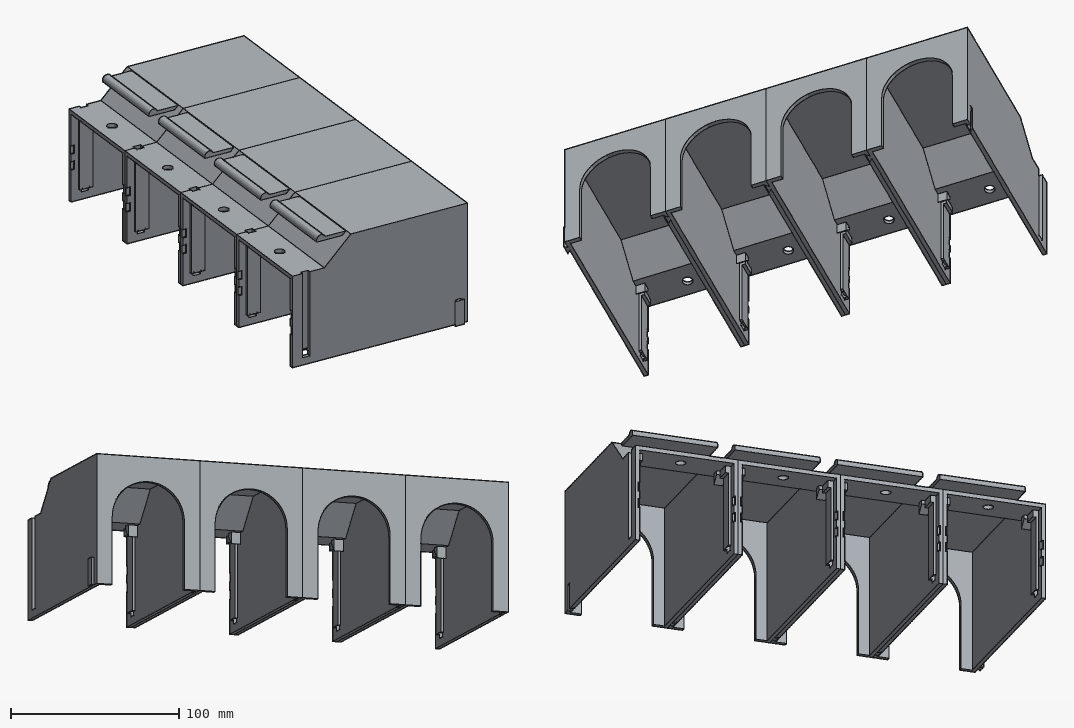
import cadquery as cq
import math

cover_count = 4
cover_width = 65.0
cover_depth = 121.0
wall = 2.5
mid_x = cover_width / 2

roof_z = 78.5
ledge_z = 60.8
slope_front_y = 22.0
slope_rear_y = 40.4

arch_radius = 22.8
arch_center_z = 41.0

hole_diameter = 6.3
hole_y = 10.5

groove_depth = 2.0
groove_front_y = 7.0
groove_width = 5.0
groove_bottom_z = 5.0

rib_wall = 2.0
rib_front_y = groove_front_y - rib_wall
rib_rear_y = groove_front_y + groove_width + rib_wall
rib_inner_x = 2 * groove_depth
rib_bottom_z = 7.3
rib_head_inner_x = 6.3
rib_head_bottom_z = 53.7

block_inner_x = 8.5
block_nose_z = 55.8
block_bottom_z = 51.0

notch_depth = 1.0
notch_height = 5.5
notch_length = 2.4
notch_bottoms_z = (21.2, 31.7)

dovetail_reach = 2.0
dovetail_neck = 2.5
dovetail_tip = 6.5
dovetail_height = 16.5
dovetail_y = cover_depth - 6.5

handle_width = 54.0
handle_top_z = 78.4
handle_bottom_z = 76.0
bead_radius = 3.1
bead_y = 23.0
bead_z = 77.0


def box(x0, x1, y0, y1, z0, z1):
    """Box between two opposite corners."""
    return cq.Workplane("XY").box(x1 - x0, y1 - y0, z1 - z0, centered=False).translate((x0, y0, z0))


def extrude_along_x(points, x0, x1):
    """Prism whose (Y, Z) outline runs from x0 to x1."""
    return cq.Workplane("YZ", origin=(x0, 0, 0)).polyline(points).close().extrude(x1 - x0)


def on_both_sides(left_feature):
    """The feature at the left wall together with its mirror image at the right wall."""
    right_feature = left_feature.mirror("YZ", (mid_x, 0, 0))
    return left_feature.union(right_feature)


def shell():
    """Hollow cover, open at the front and the bottom."""
    outside = [
        (0, 0),
        (0, ledge_z),
        (slope_front_y, ledge_z),
        (slope_rear_y, roof_z),
        (cover_depth, roof_z),
        (cover_depth, 0),
    ]
    slope_angle = math.atan2(roof_z - ledge_z, slope_rear_y - slope_front_y)
    bend_shift = wall * math.tan(slope_angle / 2)
    inside = [
        (0, 0),
        (0, ledge_z - wall),
        (slope_front_y + bend_shift, ledge_z - wall),
        (slope_rear_y + bend_shift, roof_z - wall),
        (cover_depth - wall, roof_z - wall),
        (cover_depth - wall, 0),
    ]
    cavity = extrude_along_x(inside, wall, cover_width - wall)
    return extrude_along_x(outside, 0, cover_width).cut(cavity)


def rear_opening():
    """Round-topped passage through the rear wall."""
    return (
        cq.Workplane("XZ", origin=(0, cover_depth, 0))
        .moveTo(mid_x - arch_radius, 0)
        .lineTo(mid_x - arch_radius, arch_center_z)
        .threePointArc((mid_x, arch_center_z + arch_radius), (mid_x + arch_radius, arch_center_z))
        .lineTo(mid_x + arch_radius, 0)
        .close()
        .extrude(wall)
    )


def screw_hole():
    """Cutter for the hole through the ledge."""
    return cq.Workplane("XY", origin=(mid_x, hole_y, ledge_z - wall)).circle(hole_diameter / 2).extrude(wall)


def rib():
    """Left rib with its thicker head, reaching up to the ledge."""
    ceiling_z = ledge_z - wall
    stem = box(wall, rib_inner_x, rib_front_y, rib_rear_y, rib_bottom_z, ceiling_z)
    head = box(wall, rib_head_inner_x, rib_front_y, rib_rear_y, rib_head_bottom_z, ceiling_z)
    return stem.union(head)


def corner_block():
    """Left block under the ledge with a 45 degree chamfer at its lower front."""
    ceiling_z = ledge_z - wall
    rear_y = rib_rear_y + block_nose_z - block_bottom_z
    outline = [
        (rib_rear_y, ceiling_z),
        (rib_rear_y, block_nose_z),
        (rear_y, block_bottom_z),
        (rear_y, ceiling_z),
    ]
    return extrude_along_x(outline, wall, block_inner_x)


def groove():
    """Cutter for the left groove; its floor slopes 45 degrees inwards to a window below the rib."""
    slope_top_z = rib_bottom_z + rib_inner_x - groove_depth
    outline = [
        (0, groove_bottom_z),
        (rib_inner_x, groove_bottom_z),
        (rib_inner_x, rib_bottom_z),
        (groove_depth, slope_top_z),
        (groove_depth, ledge_z),
        (0, ledge_z),
    ]
    rear_y = groove_front_y + groove_width
    return cq.Workplane("XZ", origin=(0, rear_y, 0)).polyline(outline).close().extrude(groove_width)


def notch(bottom_z):
    """Cutter for a notch in the inner front edge of the left wall."""
    return box(wall - notch_depth, wall, 0, notch_length, bottom_z, bottom_z + notch_height)


def dovetail(face_x):
    """Dovetail prism that widens in +X from its neck at face_x."""
    tip_x = face_x + dovetail_reach
    outline = [
        (face_x, dovetail_y - dovetail_neck / 2),
        (tip_x, dovetail_y - dovetail_tip / 2),
        (tip_x, dovetail_y + dovetail_tip / 2),
        (face_x, dovetail_y + dovetail_neck / 2),
    ]
    return cq.Workplane("XY").polyline(outline).close().extrude(dovetail_height)


def handle():
    """Plate rooted in the slope, with a bead along the front edge that is flat underneath."""
    slope_run_per_rise = (slope_rear_y - slope_front_y) / (roof_z - ledge_z)
    plate_outline = [
        (bead_y, handle_bottom_z),
        (bead_y, handle_top_z),
        (slope_rear_y - (roof_z - handle_top_z) * slope_run_per_rise, handle_top_z),
        (slope_rear_y - (roof_z - handle_bottom_z) * slope_run_per_rise, handle_bottom_z),
    ]
    x0 = mid_x - handle_width / 2
    x1 = mid_x + handle_width / 2
    plate = extrude_along_x(plate_outline, x0, x1)
    bead = cq.Workplane("YZ", origin=(x0, bead_y, bead_z)).circle(bead_radius).extrude(handle_width)
    below_plate = box(x0, x1, 0, cover_depth, 0, handle_bottom_z)
    return plate.union(bead.cut(below_plate))


def make_cover():
    """One complete cover with its left face at X = 0."""
    body = shell().cut(rear_opening()).cut(screw_hole())
    body = body.union(on_both_sides(rib())).union(on_both_sides(corner_block()))
    body = body.cut(on_both_sides(groove()))
    for bottom_z in notch_bottoms_z:
        body = body.cut(on_both_sides(notch(bottom_z)))
    body = body.cut(dovetail(0)).union(dovetail(cover_width))
    return body.union(handle())


cover = make_cover()
covers = [cover.translate((index * cover_width, 0, 0)) for index in range(cover_count)]

result = cq.Compound.makeCompound([placed_cover.val() for placed_cover in covers])